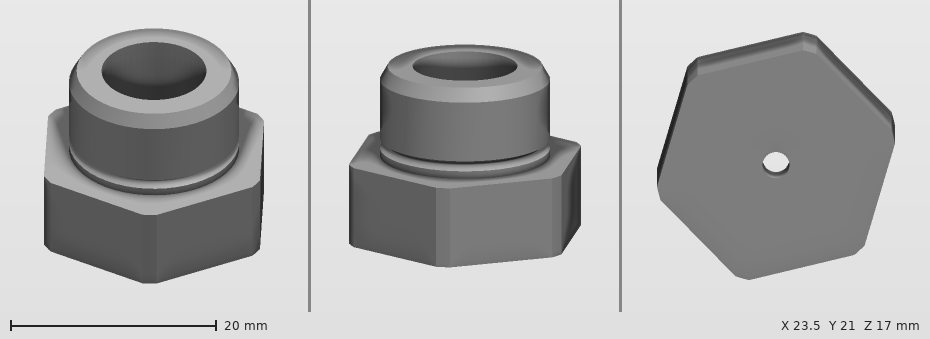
import cadquery as cq
import math

across_flats = 21.0
corner_diameter = 23.5
head_sides = 6
head_height = 8.0

total_height = 17.0
spigot_diameter = 16.55
relief_diameter = 15.05
slope_angle = 30.0
collar_height = 0.75
groove_root_radius = 0.12

bore_diameter = 10.2
bore_depth = 11.98
drill_point_angle = 118.0
orifice_diameter = 2.6

spigot_radius = spigot_diameter / 2
relief_radius = relief_diameter / 2
slope_tangent = math.tan(math.radians(slope_angle))


def make_head():
    """Hexagon with flats facing +Y and -Y, corners trimmed to a cylinder."""
    across_corners = across_flats / math.cos(math.pi / head_sides)
    hexagon = cq.Workplane("XY").polygon(head_sides, across_corners).extrude(head_height)
    envelope = cq.Workplane("XY").circle(corner_diameter / 2).extrude(head_height)
    return hexagon.intersect(envelope)


def make_spigot():
    """Revolved spigot with a round-bottomed V groove and a chamfered top."""
    root_half_width = groove_root_radius * math.cos(math.radians(slope_angle))
    root_rise = groove_root_radius * (1 - math.sin(math.radians(slope_angle)))
    root_edge_radius = relief_radius + root_rise
    flank_height = (spigot_radius - root_edge_radius) * slope_tangent

    groove_bottom = head_height + collar_height
    groove_middle = groove_bottom + flank_height + root_half_width
    groove_top = groove_middle + root_half_width + flank_height
    chamfer_height = (spigot_radius - relief_radius) / slope_tangent

    profile = (
        cq.Workplane("XZ")
        .lineTo(spigot_radius, 0)
        .lineTo(spigot_radius, groove_bottom)
        .lineTo(root_edge_radius, groove_middle - root_half_width)
        .threePointArc(
            (relief_radius, groove_middle),
            (root_edge_radius, groove_middle + root_half_width),
        )
        .lineTo(spigot_radius, groove_top)
        .lineTo(spigot_radius, total_height - chamfer_height)
        .lineTo(relief_radius, total_height)
        .lineTo(0, total_height)
        .close()
    )
    return profile.revolve(360, (0, 0), (0, 1))


def make_bore():
    """Blind bore from the top with a conical bottom, opening into a through orifice."""
    bore_radius = bore_diameter / 2
    orifice_radius = orifice_diameter / 2
    cone_height = (bore_radius - orifice_radius) / math.tan(math.radians(drill_point_angle / 2))
    cone_top = total_height - bore_depth
    profile = [
        (0, 0),
        (orifice_radius, 0),
        (orifice_radius, cone_top - cone_height),
        (bore_radius, cone_top),
        (bore_radius, total_height),
        (0, total_height),
    ]
    return cq.Workplane("XZ").polyline(profile).close().revolve(360, (0, 0), (0, 1))


result = make_head().union(make_spigot()).cut(make_bore())